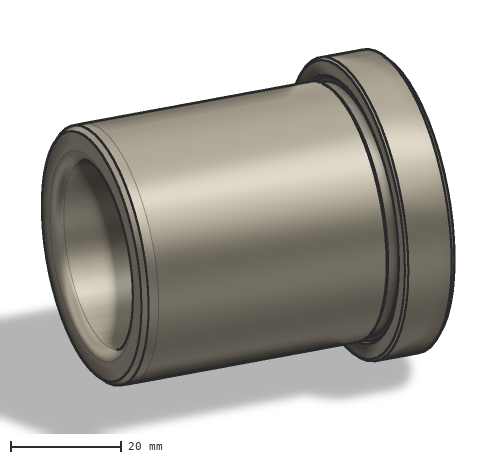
import cadquery as cq

length = 60.0
flange_diameter = 56.0
flange_thickness = 10.0
body_diameter = 48.0
bore_diameter = 35.0

groove_diameter = 47.05
groove_width = 1.6
recess_diameter = 49.5
recess_depth = 0.5

flange_back_chamfer = 1.0
flange_front_chamfer = 0.5
lead_in_length = 3.0
lead_in_depth = 0.05
tip_chamfer_length = 1.0
tip_chamfer_depth = 0.9
bore_mouth_radius = 2.0

flange_radius = flange_diameter / 2
body_radius = body_diameter / 2
groove_radius = groove_diameter / 2
recess_radius = recess_diameter / 2
bore_radius = bore_diameter / 2

tip_y = -length / 2
back_y = length / 2
flange_y = back_y - flange_thickness
shoulder_y = flange_y - groove_width
shoulder_chamfer = body_radius - groove_radius


def bush_blank():
    """Solid of revolution, outlined as (radius, Y) from the tip to the flange."""
    lead_in_radius = body_radius - lead_in_depth
    outline = (
        cq.Workplane("XY")
        .moveTo(0, tip_y)
        .lineTo(lead_in_radius - tip_chamfer_depth, tip_y)
        .lineTo(lead_in_radius, tip_y + tip_chamfer_length)
        .lineTo(body_radius, tip_y + lead_in_length)
        .lineTo(body_radius, shoulder_y - shoulder_chamfer)
        .lineTo(groove_radius, shoulder_y)
        .lineTo(groove_radius, flange_y + recess_depth)
        .lineTo(recess_radius - recess_depth, flange_y + recess_depth)
        .lineTo(recess_radius, flange_y)
        .lineTo(flange_radius - flange_front_chamfer, flange_y)
        .lineTo(flange_radius, flange_y + flange_front_chamfer)
        .lineTo(flange_radius, back_y - flange_back_chamfer)
        .lineTo(flange_radius - flange_back_chamfer, back_y)
        .lineTo(0, back_y)
        .close()
    )
    return outline.revolve(360, (0, 0, 0), (0, 1, 0))


def bore_cutter():
    """Through bore with a rounded mouth at both ends."""
    mouth_radius = bore_radius + bore_mouth_radius
    arc_offset = bore_mouth_radius * (1 - 0.5 ** 0.5)
    outline = (
        cq.Workplane("XY")
        .moveTo(0, tip_y)
        .lineTo(mouth_radius, tip_y)
        .threePointArc(
            (bore_radius + arc_offset, tip_y + arc_offset),
            (bore_radius, tip_y + bore_mouth_radius),
        )
        .lineTo(bore_radius, back_y - bore_mouth_radius)
        .threePointArc(
            (bore_radius + arc_offset, back_y - arc_offset),
            (mouth_radius, back_y),
        )
        .lineTo(0, back_y)
        .close()
    )
    return outline.revolve(360, (0, 0, 0), (0, 1, 0))


result = bush_blank().cut(bore_cutter())